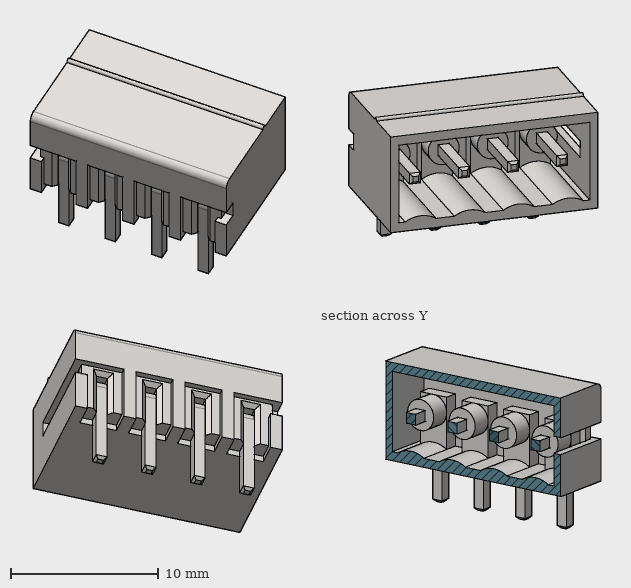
import cadquery as cq

LENGTH = 14.8
DEPTH = 9.2
HEIGHT = 7.0
FRONT_EDGE_RADIUS = 0.5

RIB_RADIUS = 0.19
RIB_Y = 5.9

PIN_COUNT = 4
PITCH = 3.51
PIN_WIDTH = 0.78
PIN_AXIS_Z = 3.27
PIN_FRONT_Y = 0.81
PIN_TIP_Y = 8.14
PIN_DROP = 3.4
PIN_CHAMFER = 0.19
PIN_REAR_Y = PIN_FRONT_Y + PIN_WIDTH
PIN_TOP_Z = PIN_AXIS_Z + PIN_WIDTH / 2
PIN_XS = [(i - (PIN_COUNT - 1) / 2) * PITCH for i in range(PIN_COUNT)]

END_WALL = 0.58
FLOOR_Z = 0.67
ROOF_Z = HEIGHT - FLOOR_Z
CAVITY_FRONT_Y = 1.02
BOSS_DIAMETER = 2.2
BOSS_LENGTH = 1.48
BLOCK_REAR_Y = 2.03
BOSS_REAR_Y = BLOCK_REAR_Y + BOSS_LENGTH
BUMP_WIDTH = BOSS_DIAMETER
BUMP_HEIGHT = 0.33

RECESS_DEPTH = 0.41
RECESS_TOP_Z = 4.17
PILLAR_WIDTH = 0.87
ARM_WIDTH = 0.85
NOTCH_HEIGHT = 0.47
LEAD_IN = 0.31

SLOT_BOTTOM_Z = 2.99
SLOT_END_Y = 7.09


def box(x0, x1, y0, y1, z0, z1):
    """Box between two opposite corners."""
    return cq.Workplane("XY").box(x1 - x0, y1 - y0, z1 - z0, centered=False).translate((x0, y0, z0))


def make_shell():
    """Block with a rounded front edge, the rib on top and the cavity at the rear."""
    block = box(-LENGTH / 2, LENGTH / 2, 0, DEPTH, 0, HEIGHT)
    block = block.edges("|X and >Z and <Y").fillet(FRONT_EDGE_RADIUS)
    rib = (
        cq.Workplane("YZ", origin=(-LENGTH / 2, RIB_Y, HEIGHT))
        .circle(RIB_RADIUS)
        .extrude(LENGTH)
    )
    inner_x = LENGTH / 2 - END_WALL
    cavity = box(-inner_x, inner_x, CAVITY_FRONT_Y, DEPTH, FLOOR_Z, ROOF_Z)
    return block.union(rib).cut(cavity)


def make_pin_support(x):
    """Block standing on the cavity floor around one pin's bend, with a round boss behind it."""
    radius = BOSS_DIAMETER / 2
    block = box(x - radius, x + radius, CAVITY_FRONT_Y, BLOCK_REAR_Y, FLOOR_Z, PIN_AXIS_Z + radius)
    boss = (
        cq.Workplane("XZ", origin=(x, BLOCK_REAR_Y, PIN_AXIS_Z))
        .circle(radius)
        .extrude(-BOSS_LENGTH)
    )
    return block.union(boss)


def make_floor_bump(x):
    """Shallow arched bump on the cavity floor, below one pin."""
    half = BUMP_WIDTH / 2
    return (
        cq.Workplane("XZ", origin=(x, CAVITY_FRONT_Y, FLOOR_Z))
        .moveTo(-half, 0)
        .threePointArc((0, BUMP_HEIGHT), (half, 0))
        .close()
        .extrude(CAVITY_FRONT_Y - DEPTH)
    )


def recess_sides(x):
    """X limits of the recess around the pin at x: pillars between pins, arms at the ends."""
    half = (PITCH - PILLAR_WIDTH) / 2
    arm_x = LENGTH / 2 - ARM_WIDTH
    left = -arm_x if x == PIN_XS[0] else x - half
    right = arm_x if x == PIN_XS[-1] else x + half
    return left, right


def make_front_recess(x):
    """Recess in front of one pin, with a deeper notch along the underside."""
    left, right = recess_sides(x)
    recess = box(left, right, 0, RECESS_DEPTH, 0, RECESS_TOP_Z)
    notch = box(left, right, 0, PIN_REAR_Y, 0, NOTCH_HEIGHT)
    return recess.union(notch)


def make_pin_channel(x):
    """Vertical channel for one pin's leg, with a bevelled lead-in at its sides and top."""
    half = PIN_WIDTH / 2
    channel = box(x - half, x + half, RECESS_DEPTH, PIN_REAR_Y, 0, PIN_TOP_Z)
    flare = (
        cq.Workplane("XZ", origin=(x, RECESS_DEPTH + LEAD_IN, PIN_TOP_Z / 2))
        .rect(PIN_WIDTH, PIN_TOP_Z)
        .workplane(offset=LEAD_IN)
        .rect(PIN_WIDTH + 2 * LEAD_IN, PIN_TOP_Z + 2 * LEAD_IN)
        .loft(ruled=True)
    )
    above_notch = box(-LENGTH / 2, LENGTH / 2, 0, DEPTH, NOTCH_HEIGHT, HEIGHT)
    return channel.union(flare.intersect(above_notch))


def make_pin_hole(x):
    """Square hole through the block and boss for one pin's horizontal arm."""
    half = PIN_WIDTH / 2
    return box(x - half, x + half, PIN_REAR_Y, BOSS_REAR_Y, PIN_AXIS_Z - half, PIN_TOP_Z)


def make_end_slot(side, end_y):
    """Slot in the end wall on one side (-1 or 1), widened to the arm's width in front."""
    outer = side * LENGTH / 2
    slot_x = sorted((outer, outer - side * END_WALL))
    mouth_x = sorted((outer, outer - side * ARM_WIDTH))
    slot = box(*slot_x, 0, end_y, SLOT_BOTTOM_Z, RECESS_TOP_Z)
    mouth = box(*mouth_x, 0, RECESS_DEPTH, SLOT_BOTTOM_Z, RECESS_TOP_Z)
    return slot.union(mouth)


def make_housing():
    """Housing with a cavity at the rear and the pins' channels in front."""
    body = make_shell()
    for x in PIN_XS:
        body = body.union(make_pin_support(x)).union(make_floor_bump(x))
        body = body.cut(make_front_recess(x)).cut(make_pin_channel(x)).cut(make_pin_hole(x))
    body = body.cut(make_end_slot(-1, SLOT_END_Y))
    return body.cut(make_end_slot(1, CAVITY_FRONT_Y))


def make_pin(x):
    """Right-angle pin: a leg down to the board and an arm into the cavity."""
    half = PIN_WIDTH / 2
    leg = box(x - half, x + half, PIN_FRONT_Y, PIN_REAR_Y, -PIN_DROP, PIN_TOP_Z)
    arm = box(x - half, x + half, PIN_FRONT_Y, PIN_TIP_Y, PIN_AXIS_Z - half, PIN_TOP_Z)
    pin = leg.union(arm)
    pin = pin.edges("|X and >Z and <Y").fillet(PIN_WIDTH)
    return pin.faces("<Z or >Y").chamfer(PIN_CHAMFER)


housing = make_housing()
pins = [make_pin(x) for x in PIN_XS]

result = cq.Compound.makeCompound([housing.val(), *[pin.val() for pin in pins]])